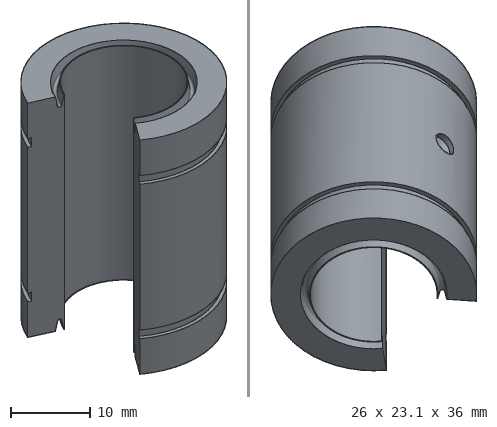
import cadquery as cq
import math

length = 36.0
outer_radius = 13.0
bore_radius = 8.0
opening_half_angle = 38.9

ring_groove_offset = 5.47
ring_groove_width = 1.35
ring_groove_depth = 0.55

seal_groove_inner_radius = 8.1
seal_groove_outer_radius = 9.25
seal_groove_depth = 1.73
seal_floor_radius = 0.3

oil_hole_diameter = 3.1
oil_hole_wall_depth = 0.8
oil_hole_cone_angle = 120.0


def make_sleeve():
    return cq.Workplane("XY").circle(outer_radius).circle(bore_radius).extrude(length)


def cut_ring_groove(body, bottom):
    groove = (
        cq.Workplane("XY")
        .workplane(offset=bottom)
        .circle(outer_radius + ring_groove_depth)
        .circle(outer_radius - ring_groove_depth)
        .extrude(ring_groove_width)
    )
    return body.cut(groove)


def make_bottom_seal_groove():
    middle_radius = (seal_groove_inner_radius + seal_groove_outer_radius) / 2
    round_start = seal_groove_depth - seal_floor_radius
    return (
        cq.Workplane("XZ")
        .moveTo(seal_groove_inner_radius, 0)
        .lineTo(middle_radius - seal_floor_radius, round_start)
        .threePointArc(
            (middle_radius, seal_groove_depth),
            (middle_radius + seal_floor_radius, round_start),
        )
        .lineTo(seal_groove_outer_radius, 0)
        .close()
        .revolve(360, (0, 0, 0), (0, 1, 0))
    )


def make_opening_wedge():
    """Sector toward -Y, from the axis to beyond the outside of the sleeve."""
    wedge_length = 2 * outer_radius
    half_width = wedge_length * math.tan(math.radians(opening_half_angle))
    return (
        cq.Workplane("XY")
        .polyline([(0, 0), (-half_width, -wedge_length), (half_width, -wedge_length)])
        .close()
        .extrude(length)
    )


def make_oil_hole():
    """Blind hole along X: a straight wall below the outer surface, then a cone."""
    radius = oil_hole_diameter / 2
    wall_end = -outer_radius + oil_hole_wall_depth
    cone_depth = radius / math.tan(math.radians(oil_hole_cone_angle / 2))
    return (
        cq.Workplane("XY")
        .polyline([
            (-outer_radius, 0),
            (-outer_radius, radius),
            (wall_end, radius),
            (wall_end + cone_depth, 0),
        ])
        .close()
        .revolve(360, (0, 0, 0), (1, 0, 0))
        .translate((0, 0, length / 2))
    )


body = make_sleeve()

for groove_bottom in (ring_groove_offset, length - ring_groove_offset - ring_groove_width):
    body = cut_ring_groove(body, groove_bottom)

bottom_seal_groove = make_bottom_seal_groove()
top_seal_groove = bottom_seal_groove.mirror("XY").translate((0, 0, length))
body = body.cut(bottom_seal_groove).cut(top_seal_groove)

result = body.cut(make_opening_wedge()).cut(make_oil_hole())